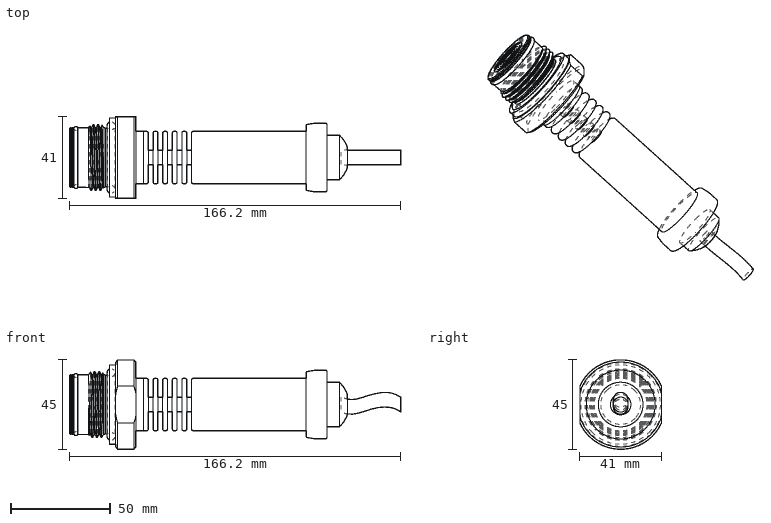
import cadquery as cq


PLUG_RADIUS = 30.1 / 2
NOSE_CHAMFER = 0.5
NOSE_GROOVE_POSITIONS = (0.8, 2.2)
NOSE_GROOVE_HALF_WIDTH = 0.3
NOSE_GROOVE_DEPTH = 0.5
DIAPHRAGM_RADIUS = 10.0
DIAPHRAGM_CENTRE_RADIUS = 2.8
CORRUGATION_COUNT = 4
CORRUGATION_DEPTH = 0.5
CORRUGATION_CREST_SETBACK = 0.03
THREAD_START = 9.5
THREAD_END = 17.3
THREAD_RADIUS = 16.6
THREAD_PITCH = 2.3
THREAD_PHASE = 60.0
THREAD_LEAD_IN = 1.5
RIDGE_ROOT_WIDTH = 2.0
RIDGE_CREST_WIDTH = 0.3
RIDGE_OVERLAP = 0.2
RELIEF_START = 18.0
RELIEF_RADIUS = 14.8
FLANGE_START = 20.0
FLANGE_RADIUS = 20.0
NUT_START = 23.1
NUT_END = 33.2
NUT_RADIUS = 45.0 / 2
NUT_ACROSS_FLATS = 41.0
NUT_CHAMFER_LENGTH = 1.0
NUT_FRONT_CHAMFER_DEPTH = 1.5
NUT_BACK_CHAMFER_DEPTH = 1.2

SMALL_RING_SECTION = 2.0 / 2
SMALL_RING_OUTER_RADIUS = 15.6
SMALL_RING_X = 3.2
LARGE_RING_SECTION = 4.0 / 2
LARGE_RING_OUTER_RADIUS = 18.0
LARGE_RING_X = 20.8

HOUSING_RADIUS = 26.5 / 2
HOUSING_START = 37.0
CORE_RADIUS = 7.5 / 2
FIN_COUNT = 5
FIN_THICKNESS = 2.5
FIN_PITCH = 4.8
FIN_FILLET = 1.0
TUBE_START = HOUSING_START + FIN_COUNT * FIN_PITCH

COLLAR_START = 118.7
COLLAR_CROWN_X = 124.3
COLLAR_END = 129.3
COLLAR_RADIUS = 17.3
COLLAR_FRONT_RADIUS = 16.5
COLLAR_FRONT_FILLET = 0.7
COLLAR_BACK_FILLET = 1.0

GLAND_RADIUS = 22.5 / 2
GLAND_SHOULDER_X = 135.5
GLAND_END = 139.5
GLAND_TIP_RADIUS = 5.2
GLAND_DOME_BULGE = 0.3

CABLE_RADIUS = 7.5 / 2
CABLE_START = 136.3
CABLE_END = 166.2
CABLE_BENDS = [(141.8, -1.2), (149.3, 0.7), (156.6, 2.3)]


def x_cylinder(start, end, radius):
    return cq.Workplane("YZ", origin=(start, 0, 0)).circle(radius).extrude(end - start)


def revolve_about_x(profile):
    """Revolves a closed (X, radius) outline about the X axis."""
    return profile.close().revolve(360, (0, 0, 0), (1, 0, 0))


def ring_about_x(position, centre_radius, section_radius):
    return cq.Workplane("XY").center(position, centre_radius).circle(section_radius).revolve(
        360, (0, -centre_radius, 0), (1, -centre_radius, 0)
    )


def make_small_ring():
    return ring_about_x(SMALL_RING_X, SMALL_RING_OUTER_RADIUS - SMALL_RING_SECTION, SMALL_RING_SECTION)


def make_large_ring():
    return ring_about_x(LARGE_RING_X, LARGE_RING_OUTER_RADIUS - LARGE_RING_SECTION, LARGE_RING_SECTION)


def make_thread_ridge():
    """A right-handed helical ridge, trimmed to a band with a conical lead-in at each end."""
    root_radius = PLUG_RADIUS - RIDGE_OVERLAP
    path_start = THREAD_START - THREAD_PITCH
    path_length = THREAD_END + THREAD_PITCH - path_start
    path = cq.Wire.makeHelix(THREAD_PITCH, path_length, root_radius)
    ridge = (
        cq.Workplane("XZ")
        .moveTo(root_radius, -RIDGE_ROOT_WIDTH / 2)
        .lineTo(THREAD_RADIUS, -RIDGE_CREST_WIDTH / 2)
        .lineTo(THREAD_RADIUS, RIDGE_CREST_WIDTH / 2)
        .lineTo(root_radius, RIDGE_ROOT_WIDTH / 2)
        .close()
        .sweep(path, isFrenet=True)
        .rotate((0, 0, 0), (0, 1, 0), 90)
        .rotate((0, 0, 0), (1, 0, 0), THREAD_PHASE)
        .translate((path_start, 0, 0))
    )
    band = revolve_about_x(
        cq.Workplane("XY")
        .moveTo(THREAD_START, 0)
        .lineTo(THREAD_START, PLUG_RADIUS)
        .lineTo(THREAD_START + THREAD_LEAD_IN, THREAD_RADIUS + RIDGE_OVERLAP)
        .lineTo(THREAD_END - THREAD_LEAD_IN, THREAD_RADIUS + RIDGE_OVERLAP)
        .lineTo(THREAD_END, PLUG_RADIUS)
        .lineTo(THREAD_END, 0)
    )
    return ridge.intersect(band)


def make_nose_groove(position):
    """A V groove round the plug."""
    return revolve_about_x(
        cq.Workplane("XY")
        .moveTo(position - NOSE_GROOVE_HALF_WIDTH, PLUG_RADIUS)
        .lineTo(position, PLUG_RADIUS - NOSE_GROOVE_DEPTH)
        .lineTo(position + NOSE_GROOVE_HALF_WIDTH, PLUG_RADIUS)
    )


def make_corrugations():
    """The recess in front of the diaphragm, whose floor is concentric waves of alternating arcs."""
    pitch = (DIAPHRAGM_RADIUS - DIAPHRAGM_CENTRE_RADIUS) / CORRUGATION_COUNT
    middle = (CORRUGATION_CREST_SETBACK + CORRUGATION_DEPTH) / 2
    wave = cq.Workplane("XY").lineTo(middle, 0).lineTo(middle, DIAPHRAGM_CENTRE_RADIUS)
    for index in range(CORRUGATION_COUNT):
        inner = DIAPHRAGM_CENTRE_RADIUS + index * pitch
        wave = wave.threePointArc((CORRUGATION_CREST_SETBACK, inner + pitch / 4), (middle, inner + pitch / 2))
        wave = wave.threePointArc((CORRUGATION_DEPTH, inner + 3 * pitch / 4), (middle, inner + pitch))
    return revolve_about_x(wave.lineTo(0, DIAPHRAGM_RADIUS))


def make_nut():
    nut = revolve_about_x(
        cq.Workplane("XY")
        .moveTo(NUT_START, 0)
        .lineTo(NUT_START, NUT_RADIUS - NUT_FRONT_CHAMFER_DEPTH)
        .lineTo(NUT_START + NUT_CHAMFER_LENGTH, NUT_RADIUS)
        .lineTo(NUT_END - NUT_CHAMFER_LENGTH, NUT_RADIUS)
        .lineTo(NUT_END, NUT_RADIUS - NUT_BACK_CHAMFER_DEPTH)
        .lineTo(NUT_END, 0)
    )
    flats = cq.Workplane("XY").box(2 * NUT_END, NUT_ACROSS_FLATS, 4 * NUT_RADIUS)
    return nut.intersect(flats)


def make_fitting():
    """Plug, flange, flatted nut and neck in one piece, with seats for both O-rings."""
    plug = revolve_about_x(
        cq.Workplane("XY")
        .moveTo(0, 0)
        .lineTo(0, PLUG_RADIUS - NOSE_CHAMFER)
        .lineTo(NOSE_CHAMFER, PLUG_RADIUS)
        .lineTo(THREAD_END, PLUG_RADIUS)
        .lineTo(RELIEF_START, RELIEF_RADIUS)
        .lineTo(FLANGE_START, RELIEF_RADIUS)
        .lineTo(FLANGE_START, 0)
    )
    for position in NOSE_GROOVE_POSITIONS:
        plug = plug.cut(make_nose_groove(position))
    plug = plug.cut(make_corrugations()).union(make_thread_ridge())
    flange = x_cylinder(FLANGE_START, NUT_START, FLANGE_RADIUS)
    neck = x_cylinder(NUT_END, HOUSING_START, HOUSING_RADIUS)
    fitting = plug.union(flange).union(make_nut()).union(neck)
    return fitting.cut(make_small_ring()).cut(make_large_ring())


def make_housing():
    """Cooling fins on a thin core, followed by the tube."""
    housing = x_cylinder(HOUSING_START, TUBE_START, CORE_RADIUS)
    for index in range(FIN_COUNT):
        start = HOUSING_START + index * FIN_PITCH
        fin = x_cylinder(start, start + FIN_THICKNESS, HOUSING_RADIUS)
        rounded_faces = ">X" if index == 0 else "|X"
        housing = housing.union(fin.faces(rounded_faces).edges().fillet(FIN_FILLET))
    tube = x_cylinder(TUBE_START, COLLAR_START, HOUSING_RADIUS)
    return housing.union(tube.faces("<X").edges().fillet(FIN_FILLET))


def make_collar():
    """A ring whose front half swells along an arc that levels out at the crown."""
    bulge_x = (COLLAR_START + COLLAR_CROWN_X) / 2
    bulge_radius = COLLAR_RADIUS - (COLLAR_RADIUS - COLLAR_FRONT_RADIUS) / 4
    collar = revolve_about_x(
        cq.Workplane("XY")
        .moveTo(COLLAR_START, 0)
        .lineTo(COLLAR_START, COLLAR_FRONT_RADIUS)
        .threePointArc((bulge_x, bulge_radius), (COLLAR_CROWN_X, COLLAR_RADIUS))
        .lineTo(COLLAR_END, COLLAR_RADIUS)
        .lineTo(COLLAR_END, 0)
    )
    collar = collar.faces("<X").edges().fillet(COLLAR_FRONT_FILLET)
    return collar.faces(">X").edges().fillet(COLLAR_BACK_FILLET)


def make_cable():
    """An S-bent cable whose cross-section stays square to X, so both ends are upright circles."""
    path = cq.Workplane("XZ").spline([(CABLE_START, 0), *CABLE_BENDS, (CABLE_END, 0)])
    section = cq.Workplane("YZ", origin=(CABLE_START, 0, 0)).circle(CABLE_RADIUS)
    return section.sweep(path, normal=(1, 0, 0))


def make_gland(cable):
    """A short cylinder with a slightly domed end, bored to the shape of the cable."""
    dome_middle_x = (GLAND_SHOULDER_X + GLAND_END) / 2 + GLAND_DOME_BULGE
    dome_middle_radius = (GLAND_RADIUS + GLAND_TIP_RADIUS) / 2 + GLAND_DOME_BULGE
    gland = revolve_about_x(
        cq.Workplane("XY")
        .moveTo(COLLAR_END, 0)
        .lineTo(COLLAR_END, GLAND_RADIUS)
        .lineTo(GLAND_SHOULDER_X, GLAND_RADIUS)
        .threePointArc((dome_middle_x, dome_middle_radius), (GLAND_END, GLAND_TIP_RADIUS))
        .lineTo(GLAND_END, 0)
    )
    return gland.cut(cable)


fitting = make_fitting()
small_ring = make_small_ring()
large_ring = make_large_ring()
housing = make_housing()
collar = make_collar()
cable = make_cable()
gland = make_gland(cable)

result = cq.Compound.makeCompound(
    [
        fitting.val(),
        small_ring.val(),
        large_ring.val(),
        housing.val(),
        collar.val(),
        gland.val(),
        cable.val(),
    ]
)